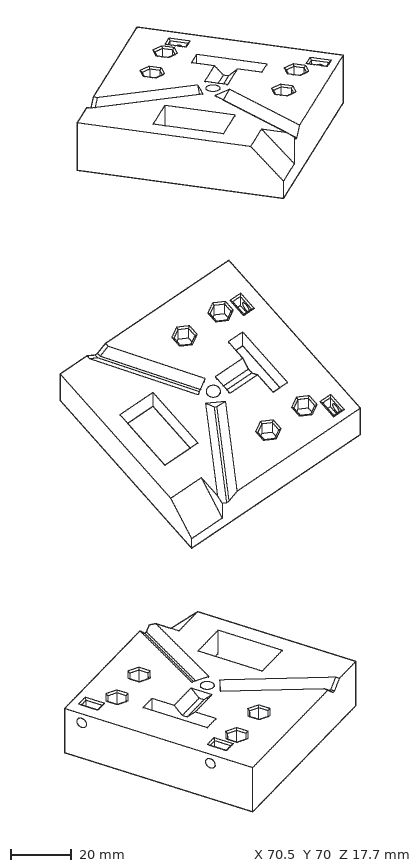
import cadquery as cq
import math

length = 70.5
width = 70.0
height = 17.7

center_x = 35.95
center_y = 35.75
center_hole_diameter = 4.6

window_length = 24.05
window_left = 24.2
front_window_y = (6.1, 19.8)
rear_window_y = (51.05, 57.0)

deck_thickness = 9.3
cavity_wall = front_window_y[0]

groove_depth = 3.0
rear_groove_width = 7.9
rear_groove_floor = 1.8
rear_groove_start = center_y + 3.9
side_groove_width = 6.55
side_groove_floor = 0.85
side_groove_start = (3.75, -2.0)
side_groove_end = (length - center_x, 15.0 - center_y)
groove_overrun = 1.2
left_edge_strip = length - 2 * side_groove_end[0]

hex_flats = 6.0
hex_depth = 7.05
hex_xs = (13.7, 58.6)
hex_ys = (41.0, 56.0)

pocket_length = 6.0
pocket_width = 3.2
pocket_xs = (15.85, 64.1)
pocket_y = 63.25
bolt_diameter = 3.6
bolt_drop = 3.6
pocket_depth = bolt_drop + pocket_length / 2
lead_in = 0.6

corner_leg = 11.2
corner_width = 12.7


def window(y_range):
    """Rectangular prism through the full height."""
    y_low, y_high = y_range
    return cq.Workplane("XY").box(window_length, y_high - y_low, height, centered=False).translate(
        (window_left, y_low, 0)
    )


def underside_cavity():
    """Rectangular cavity below the deck, with the same wall thickness on all four sides."""
    return cq.Workplane("XY").box(
        length - 2 * cavity_wall, width - 2 * cavity_wall, height - deck_thickness, centered=False
    ).translate((cavity_wall, cavity_wall, 0))


def groove(start, end, top_width, floor_width):
    """V groove with a flat floor, running straight from start to end along the top face."""
    run_x = end[0] - start[0]
    run_y = end[1] - start[1]
    section = cq.Workplane(
        cq.Plane(origin=(start[0], start[1], height), xDir=(-run_y, run_x, 0), normal=(run_x, run_y, 0))
    )
    return section.polyline(
        [
            (-top_width / 2, 0),
            (-floor_width / 2, -groove_depth),
            (floor_width / 2, -groove_depth),
            (top_width / 2, 0),
        ]
    ).close().extrude(math.hypot(run_x, run_y))


def side_groove(side):
    """Slanted groove from the star centre to the block side: side is 1 for right, -1 for left."""
    start_x, start_y = side_groove_start
    end_x, end_y = side_groove_end
    start = (center_x + side * start_x, center_y + start_y)
    end = (
        center_x + side * (start_x + groove_overrun * (end_x - start_x)),
        center_y + start_y + groove_overrun * (end_y - start_y),
    )
    trim = cq.Workplane("XY").box(2 * end_x, width, 2 * height).translate((center_x, width / 2, height))
    return groove(start, end, side_groove_width, side_groove_floor).intersect(trim)


def left_edge_groove():
    """Short square continuation of the left groove through the strip at the left edge."""
    run_x = side_groove_end[0] - side_groove_start[0]
    run_y = side_groove_end[1] - side_groove_start[1]
    oblique = math.hypot(run_x, run_y) / run_x
    y = center_y + side_groove_end[1]
    return groove((left_edge_strip, y), (0, y), side_groove_width * oblique, side_groove_floor * oblique)


def hex_socket(x, y):
    """Hexagonal blind socket with a lead-in chamfer at its mouth."""
    socket_corners = hex_flats * 2 / math.sqrt(3)
    mouth_corners = (hex_flats + 2 * lead_in) * 2 / math.sqrt(3)
    mouth = (
        cq.Workplane("XY", origin=(x, y, height))
        .polygon(6, mouth_corners)
        .workplane(offset=-lead_in)
        .polygon(6, socket_corners)
        .loft(ruled=True)
    )
    shaft = cq.Workplane("XY", origin=(x, y, height)).polygon(6, socket_corners).extrude(-hex_depth)
    return shaft.union(mouth)


def nut_pocket(x):
    """Rectangular blind pocket with a lead-in chamfer, met by a bolt hole from the rear face."""
    mouth = (
        cq.Workplane("XY", origin=(x, pocket_y, height))
        .rect(pocket_length + 2 * lead_in, pocket_width + 2 * lead_in)
        .workplane(offset=-lead_in)
        .rect(pocket_length, pocket_width)
        .loft(ruled=True)
    )
    shaft = (
        cq.Workplane("XY", origin=(x, pocket_y, height))
        .rect(pocket_length, pocket_width)
        .extrude(-pocket_depth)
    )
    bolt_hole = (
        cq.Workplane("XZ", origin=(x, width, height - bolt_drop))
        .circle(bolt_diameter / 2)
        .extrude(width - pocket_y)
    )
    return shaft.union(mouth).union(bolt_hole)


def corner_cut():
    """Triangular prism that slopes the right front corner down at 45 degrees."""
    return (
        cq.Workplane("XZ")
        .polyline([(length - corner_leg, height), (length, height), (length, height - corner_leg)])
        .close()
        .extrude(-corner_width)
    )


result = cq.Workplane("XY").box(length, width, height, centered=False)
result = result.cut(underside_cavity())

for y_range in (front_window_y, rear_window_y):
    result = result.cut(window(y_range))

center_hole = (
    cq.Workplane("XY", origin=(center_x, center_y, 0))
    .circle(center_hole_diameter / 2)
    .extrude(height)
)
result = result.cut(center_hole)

rear_groove = groove(
    (center_x, rear_groove_start), (center_x, rear_window_y[0]), rear_groove_width, rear_groove_floor
)
result = result.cut(rear_groove)
for side in (-1, 1):
    result = result.cut(side_groove(side))
result = result.cut(left_edge_groove())

for x in hex_xs:
    for y in hex_ys:
        result = result.cut(hex_socket(x, y))

for x in pocket_xs:
    result = result.cut(nut_pocket(x))

result = result.cut(corner_cut())